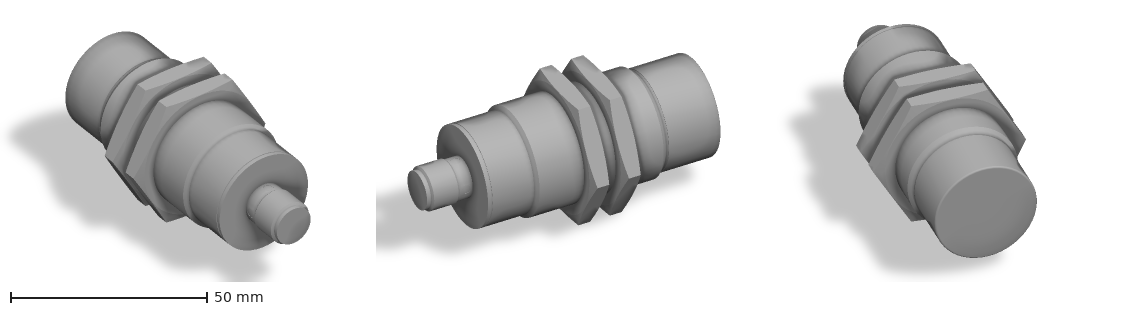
import cadquery as cq
import math

CAP_END = 15.0
RELIEF_END = 15.65
THREAD_START = 17.2
THREAD_END = 53.0
REAR_START = 54.0
SEAM_START = 65.9
COLLAR_START = 66.25
COLLAR_END = 67.3
NECK_END = 71.15
PLUG_START = 71.6
PLUG_END = 78.6
TIP_START = 79.1
LENGTH = 80.3

CAP_RADIUS = 13.9
RELIEF_RADIUS = 13.7
THREAD_RADIUS = 15.0
SEAM_RADIUS = RELIEF_RADIUS
NECK_RADIUS = 5.6
PLUG_RADIUS = 6.0
TIP_RADIUS = 5.3
FACE_FILLET = 0.5

WINDOW_X = 69.2
WINDOW_RADIUS = 1.3
WINDOW_DEPTH = 0.1
WINDOW_COUNT = 4

NUT_SIDES = 6
NUT_FLATS = 36.0
NUT_THICKNESS = 5.0
NUT_STARTS = (26.1, 35.2)
NUT_FACE_RADIUS = 17.8
NUT_CHAMFER_ANGLE = 15


def revolve_about_x(outline):
    """Revolve a closed (x, radius) outline about the sensor axis."""
    return cq.Workplane("XY").polyline(outline).close().revolve(360, (0, 0, 0), (1, 0, 0))


def cut_windows(housing):
    """Sink evenly spaced round windows into the neck, with floors concentric to it."""
    floor = cq.Workplane("YZ").circle(NECK_RADIUS - WINDOW_DEPTH).extrude(LENGTH)
    drill = cq.Workplane("XY").center(WINDOW_X, 0).circle(WINDOW_RADIUS).extrude(PLUG_RADIUS)
    recess = drill.cut(floor)
    for i in range(WINDOW_COUNT):
        housing = housing.cut(recess.rotate((0, 0, 0), (1, 0, 0), i * 360 / WINDOW_COUNT))
    return housing


def make_housing():
    """Turned sensor housing with its plug connector at the rear."""
    housing = revolve_about_x([
        (0, 0),
        (0, CAP_RADIUS),
        (CAP_END, CAP_RADIUS),
        (CAP_END, RELIEF_RADIUS),
        (RELIEF_END, RELIEF_RADIUS),
        (THREAD_START, THREAD_RADIUS),
        (THREAD_END, THREAD_RADIUS),
        (REAR_START, CAP_RADIUS),
        (SEAM_START, CAP_RADIUS),
        (SEAM_START, SEAM_RADIUS),
        (COLLAR_START, SEAM_RADIUS),
        (COLLAR_START, CAP_RADIUS),
        (COLLAR_END, CAP_RADIUS),
        (COLLAR_END, NECK_RADIUS),
        (NECK_END, NECK_RADIUS),
        (PLUG_START, PLUG_RADIUS),
        (PLUG_END, PLUG_RADIUS),
        (TIP_START, TIP_RADIUS),
        (LENGTH, TIP_RADIUS),
        (LENGTH, 0),
    ])
    housing = housing.faces("<X").edges().fillet(FACE_FILLET)
    return cut_windows(housing)


def make_nut(start):
    """Hexagonal nut with both faces chamfered, bored to fit the thread."""
    corner_radius = NUT_FLATS / 2 / math.cos(math.pi / NUT_SIDES)
    chamfer_depth = (corner_radius - NUT_FACE_RADIUS) * math.tan(math.radians(NUT_CHAMFER_ANGLE))
    end = start + NUT_THICKNESS
    blank = (
        cq.Workplane("YZ", origin=(start, 0, 0))
        .polygon(NUT_SIDES, 2 * corner_radius)
        .circle(THREAD_RADIUS)
        .extrude(NUT_THICKNESS)
    )
    chamfer_envelope = revolve_about_x([
        (start, 0),
        (start, NUT_FACE_RADIUS),
        (start + chamfer_depth, corner_radius),
        (end - chamfer_depth, corner_radius),
        (end, NUT_FACE_RADIUS),
        (end, 0),
    ])
    return blank.intersect(chamfer_envelope)


housing = make_housing()
nuts = [make_nut(start) for start in NUT_STARTS]

result = cq.Compound.makeCompound([housing.val(), *[nut.val() for nut in nuts]])